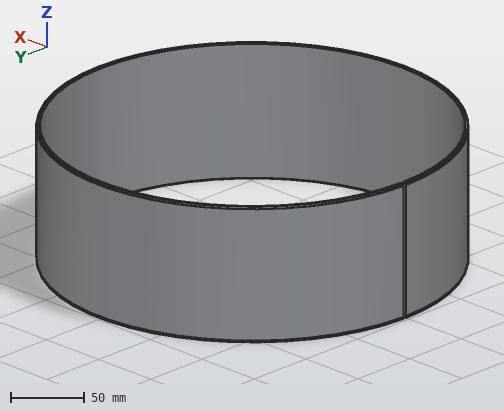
import cadquery as cq
import math

outer_diameter = 295.0
wall_thickness = 2.5
height = 100.0

outer_bevel_inset = 0.65
outer_bevel_rise = 1.5
inner_bevel_inset = 0.35
inner_bevel_rise = 0.6

slit_angle = 1.0

outer_radius = outer_diameter / 2
inner_radius = outer_radius - wall_thickness
slit_width = outer_radius * math.sin(math.radians(slit_angle))


def make_band():
    """Closed ring whose top and bottom rims are bevelled outside and inside."""
    wall_section = [
        (outer_radius - outer_bevel_inset, 0),
        (outer_radius, outer_bevel_rise),
        (outer_radius, height - outer_bevel_rise),
        (outer_radius - outer_bevel_inset, height),
        (inner_radius + inner_bevel_inset, height),
        (inner_radius, height - inner_bevel_rise),
        (inner_radius, inner_bevel_rise),
        (inner_radius + inner_bevel_inset, 0),
    ]
    return cq.Workplane("XZ").polyline(wall_section).close().revolve(360, (0, 0), (0, 1))


def make_slit():
    """Full-height, parallel-sided cutter through the -X wall, on the +Y side of the XZ plane."""
    wall_middle = (inner_radius + outer_radius) / 2
    cutter_depth = 2 * wall_thickness
    return (
        cq.Workplane("XY")
        .center(-wall_middle, slit_width / 2)
        .rect(cutter_depth, slit_width)
        .extrude(height)
    )


result = make_band().cut(make_slit())